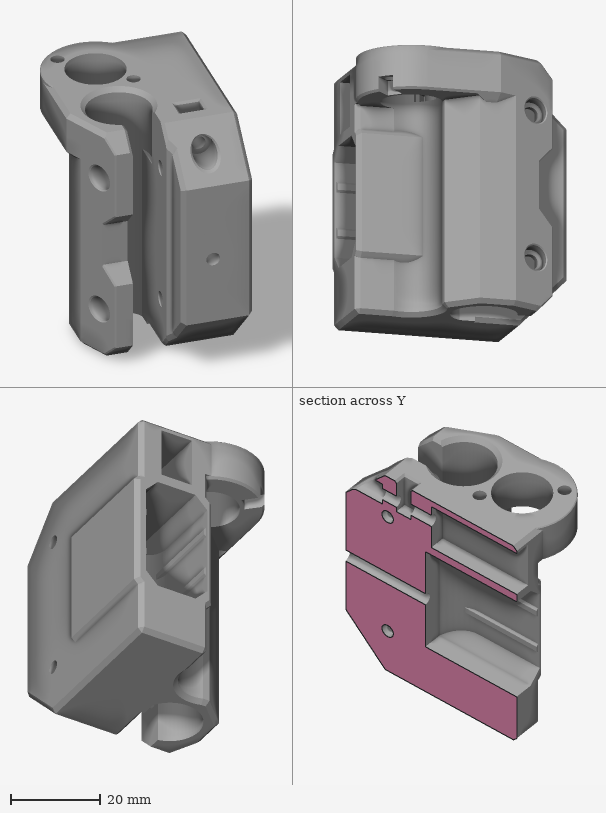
import cadquery as cq
import math

height = 58.0
edge_chamfer = 1.05
slit_chamfer = 0.7
hole_chamfer = 0.5
arm_rim_chamfer = 0.3

block_left = -10.95
block_right = 39.05
block_front = 6.65
block_back = 24.6
tab_step = 1.1
tab_front = block_front + tab_step
corner_cut = 11.5
corner_x = block_right - corner_cut

rod_radius = 14.0 / 2
ring_radius = 12.45
ring_bottom = 48.4
ring_top_chamfer = 0.25
rim_drop = 0.5
pin_diameter = 3.2
pin_reach = 9.55
blind_pin_bottom = 46.4

bore_x = 17.0
bore_radius = 7.6
bore_flat_top = 43.5
slit_front = -1.4
slit_end = 30.9
tab_left = slit_end + tab_step
arm_right = 31.5
arm_corner_x = 17.2
arm_slope = 0.485
body_front = -10.5
body_front_right = arm_corner_x + (body_front + ring_radius) / arm_slope
arm_right_front = -ring_radius + (arm_right - arm_corner_x) * arm_slope
web_x = 6.55
web_front = -4.1
body_front_left = web_x + web_front - body_front

notch_x = 27.65
notch_z = 29.0
notch_half_height = 5.15

bulge_front = 5.45
bulge_back = 25.65
bulge_right = 18.2
bulge_flat_half = 13.7
bulge_corner = 1.6

pocket_y = 15.1
pocket_z = 27.6
pocket_width = 16.1
pocket_height = 28.25
pocket_corner = 3.15
pocket_end = 15.65
pocket_arc_radius = 14.5
pocket_arc_length = math.sqrt(pocket_arc_radius**2 - (pocket_arc_radius - pocket_corner) ** 2)
rib_offset = 5.35
rib_height = 2.45
rib_depth = 0.5
window_width = 7.95
window_bottom = 44.1
window_top = 56.15
window_end = 13.9
screw_diameter = 3.2
clearance_diameter = 3.7
head_diameter = 5.8
tension_z = 51.95
tension_head_x = 28.4
nut_x = 22.1
nut_length = 4.05
nut_width = 5.75
nut_bottom = tension_z - nut_width / 2

clamp_x = 26.8
clamp_heights = (11.95, 46.0)
clamp_head_y = -3.2
clamp_step_y = block_front + 1.45

outer_slot_width = 3.7
outer_slot_top = 51.15
outer_slot_reach = 7.8
inner_slot_width = 3.9
inner_slot_bottom = 49.6
inner_slot_top = 51.45
frame_width = 5.55
frame_top = 52.4
frame_reach = 7.5

tolerance = 0.005
margin = 0.6


def prism(points, bottom, top):
    """Vertical prism over a closed XY polygon."""
    return cq.Workplane("XY").workplane(offset=bottom).polyline(points).close().extrude(top - bottom)


def box(x_range, y_range, z_range):
    """Box given by its limits on each axis."""
    size = [high - low for low, high in (x_range, y_range, z_range)]
    return cq.Workplane("XY").box(*size, centered=False).translate((x_range[0], y_range[0], z_range[0]))


def rod(start, direction, diameter, length):
    """Round bar starting at a point and running along a direction."""
    return cq.Workplane(cq.Solid.makeCylinder(diameter / 2, length, cq.Vector(*start), cq.Vector(*direction)))


def right_corner_cuts():
    """Wedges that take the 45 degree corners off the right end."""
    far = block_right + margin
    side = far - corner_x
    y_span = 2 * (block_back + ring_radius)
    lower = [(corner_x, 0), (far, 0), (far, side)]
    upper = [(x, height - z) for x, z in lower]
    wedges = [
        cq.Workplane("XZ").polyline(points).close().extrude(y_span, both=True) for points in (lower, upper)
    ]
    return wedges[0].union(wedges[1])


def on_corner_cut(edge):
    """True when a straight edge lies in one of the two 45 degree corner faces."""
    if edge.geomType() != "LINE":
        return False
    ends = (edge.startPoint(), edge.endPoint())
    reaches = [point.x + abs(point.z - height / 2) for point in ends]
    return all(abs(reach - corner_x - height / 2) < tolerance for reach in reaches)


def side_prism(front, back):
    """Block contour in XZ, with both right corners cut, between two Y positions."""
    contour = [
        (block_left, 0),
        (corner_x, 0),
        (block_right, corner_cut),
        (block_right, height - corner_cut),
        (corner_x, height),
        (block_left, height),
    ]
    return cq.Workplane("XZ").workplane(offset=-back).polyline(contour).close().extrude(back - front)


def make_block():
    """Block behind the slit, with a thinner tab at its right end."""
    block = side_prism(block_front, block_back)
    corner_rib = cq.selectors.BoxSelector(
        (corner_x - tolerance, block_front, -margin), (corner_x + tolerance, block_back - margin, height + margin)
    )
    block = block.faces("<X or >Y or <Z").edges(-corner_rib).chamfer(edge_chamfer)
    block = block.faces("<Y").edges().filter(on_corner_cut).chamfer(slit_chamfer)
    beyond_slit = prism(
        [
            (slit_end - tab_step, block_front - tab_step),
            (slit_end + block_back, block_front + block_back),
            (block_right + margin, block_front - tab_step),
        ],
        0,
        height,
    )
    block = block.cut(beyond_slit)

    def is_step_rim(edge):
        middle = edge.Center()
        return on_corner_cut(edge) and middle.x > tab_left and middle.y < pocket_y

    block = block.edges().filter(is_step_rim).chamfer(edge_chamfer)
    tab = side_prism(tab_front, block_back).faces("<Y or >Y").edges().chamfer(edge_chamfer)
    left_of_tab = box((block_left, tab_left), (block_front, block_back), (0, height))
    return block.union(tab.cut(left_of_tab))


def make_front():
    """Body in front of the block, around the clamp bore, with the sloping arm."""
    scoop_front = -math.sqrt(rod_radius**2 - web_x**2)
    outline = [
        (0, pocket_y),
        (0, scoop_front),
        (web_x, scoop_front),
        (web_x, web_front),
        (body_front_left, body_front),
        (body_front_right, body_front),
        (arm_right, arm_right_front),
        (arm_right, slit_front),
        (bore_x, slit_front),
        (bore_x, pocket_y),
    ]
    front = prism(outline, 0, ring_bottom)

    def is_front_rim(edge):
        middle = edge.Center()
        return middle.y < scoop_front - tolerance and middle.x < arm_right - tolerance

    return front.faces("<Z").edges().filter(is_front_rim).chamfer(edge_chamfer)


def make_bulge():
    """Thicker part of the block around the large pocket, front and back."""
    half_height = bulge_flat_half + bulge_corner
    bulge = box(
        (block_left, bulge_right),
        (bulge_front, bulge_back),
        (pocket_z - half_height, pocket_z + half_height),
    )
    bulge = bulge.edges("|X").chamfer(bulge_corner)
    return bulge.faces("<X or >X").edges().chamfer(edge_chamfer)


def tapered_underside(outline, depth):
    """Slab below the plate that narrows downwards at 45 degrees."""
    return cq.Workplane("XY").workplane(offset=ring_bottom).polyline(outline).close().extrude(-depth, taper=45)


def make_plate():
    """Top plate: a ring around the rod hole and a straight front along the clamp."""
    ring = rod((0, 0, ring_bottom - rim_drop), (0, 0, 1), 2 * ring_radius, height - ring_bottom + rim_drop)
    ring = ring.faces(">Z").chamfer(ring_top_chamfer).faces("<Z").chamfer(rim_drop)
    outline = [
        (0, -ring_radius),
        (arm_corner_x, -ring_radius),
        (arm_right, arm_right_front),
        (arm_right, slit_front),
        (bore_x, slit_front),
        (bore_x, block_front),
        (0, block_front),
    ]
    front_edges = cq.selectors.BoxSelector(
        (tolerance, -ring_radius - margin, height - margin), (arm_right, arm_right_front, height + margin)
    )
    front = prism(outline, ring_bottom, height).edges(front_edges).chamfer(edge_chamfer)
    rim = tapered_underside(outline, rim_drop)
    overhang = ring_radius + body_front
    support_outline = [(body_front_left - overhang, -ring_radius)] + outline[1:5]
    support = tapered_underside(support_outline, overhang)
    ring_meets_block = math.sqrt(ring_radius**2 - block_left**2)
    shoulder = box((block_left, 0), (ring_meets_block, pocket_y), (ring_bottom, height))
    shoulder = shoulder.edges("<X and >Z").chamfer(edge_chamfer)
    return ring.union(front).union(rim).union(support).union(shoulder)


def cut_scoop(part):
    """Rod hole and its clearance along the body, chamfered at the bottom."""
    scoop = rod((0, 0, 0), (0, 0, 1), 2 * rod_radius, height)
    rim = cq.Workplane(cq.Solid.makeCone(rod_radius + edge_chamfer, rod_radius, edge_chamfer))
    return part.cut(scoop).cut(rim)


def cut_clamp(part):
    """Clamp bore, the chamfers of its slit and the notch in the arm."""
    flat = box((0, block_right), (block_front, block_back), (0, bore_flat_top))
    bore = rod((bore_x, 0, 0), (0, 0, 1), 2 * bore_radius, height).cut(flat)
    mouth_start = cq.Vector(bore_x, 0, height - edge_chamfer)
    mouth = cq.Workplane(
        cq.Solid.makeCone(bore_radius, bore_radius + edge_chamfer, edge_chamfer, mouth_start)
    )
    part = part.cut(bore)

    def is_slit_rim(edge):
        middle = edge.Center()
        on_slit = edge.geomType() == "LINE" and abs(middle.y - slit_front) < tolerance
        return on_slit and middle.x > bore_x + bore_radius and middle.z > height / 2

    part = part.edges().filter(is_slit_rim).chamfer(slit_chamfer)
    rise = arm_right + margin - notch_x
    notch_outline = [
        (notch_x, notch_z - notch_half_height),
        (notch_x, notch_z + notch_half_height),
        (notch_x + rise, notch_z + notch_half_height + rise),
        (notch_x + rise, notch_z - notch_half_height - rise),
    ]
    notch = cq.Workplane("XZ").polyline(notch_outline).close().extrude(ring_radius)
    part = part.cut(mouth).cut(notch)

    def is_arm_rim(edge):
        middle = edge.Center()
        on_face = abs(middle.y + ring_radius - (middle.x - arm_corner_x) * arm_slope) < tolerance
        return edge.geomType() == "LINE" and on_face and middle.x > notch_x + tolerance

    return part.edges().filter(is_arm_rim).chamfer(arm_rim_chamfer)


def cut_clamp_screws(part):
    """Clamp screws along Y, with a sunk head in the sloping arm."""
    for z in clamp_heights:
        part = part.cut(rod((clamp_x, -ring_radius, z), (0, 1, 0), screw_diameter, ring_radius + bulge_back))
        part = part.cut(rod((clamp_x, clamp_step_y, z), (0, -1, 0), clearance_diameter, ring_radius + clamp_step_y))
        part = part.cut(rod((clamp_x, clamp_head_y, z), (0, -1, 0), head_diameter, ring_radius))
    return part


def make_rail(side, z):
    """Rail with sloping flanks along one wall of the large pocket."""
    wall = pocket_y + side * pocket_width / 2
    crest = wall - side * rib_depth
    half = rib_height / 2
    section = [
        (wall, z - half),
        (wall, z + half),
        (crest, z + half - rib_depth),
        (crest, z - half + rib_depth),
    ]
    start = block_left + rib_depth
    return cq.Workplane("YZ").workplane(offset=start).polyline(section).close().extrude(pocket_end - block_left)


def make_large_pocket():
    """Large pocket: octagonal in section, with curved walls towards its end."""
    half_width = pocket_width / 2
    half_end = half_width - pocket_corner
    plan = (
        cq.Workplane("XY")
        .moveTo(block_left, -half_width)
        .lineTo(pocket_end - pocket_arc_length, -half_width)
        .radiusArc((pocket_end, -half_end), -pocket_arc_radius)
        .lineTo(pocket_end, half_end)
        .radiusArc((pocket_end - pocket_arc_length, half_width), -pocket_arc_radius)
        .lineTo(block_left, half_width)
        .close()
        .extrude(height)
        .translate((0, pocket_y, 0))
    )
    pocket = box(
        (block_left, pocket_end),
        (pocket_y - half_width, pocket_y + half_width),
        (pocket_z - pocket_height / 2, pocket_z + pocket_height / 2),
    )
    pocket = pocket.edges("|X").chamfer(pocket_corner).intersect(plan)
    for side in (-1, 1):
        for z in (pocket_z - rib_offset, pocket_z + rib_offset):
            pocket = pocket.cut(make_rail(side, z))
    return pocket


def cut_pockets(part):
    """Large pocket, window pocket, the screws along X and the nut pocket in the top."""
    window = box(
        (block_left, window_end),
        (pocket_y - window_width / 2, pocket_y + window_width / 2),
        (window_bottom, window_top),
    )
    part = part.cut(make_large_pocket()).cut(window)
    for z in (pocket_z, tension_z):
        part = part.cut(rod((0, pocket_y, z), (1, 0, 0), screw_diameter, block_right))
    nut = box(
        (nut_x - nut_length / 2, nut_x + nut_length / 2),
        (pocket_y - nut_width / 2, pocket_y + nut_width / 2),
        (nut_bottom, height),
    )
    nut_mouth = (
        cq.Workplane("XY")
        .workplane(offset=height)
        .center(nut_x, pocket_y)
        .rect(nut_length + 2 * hole_chamfer, nut_width + 2 * hole_chamfer)
        .extrude(-hole_chamfer, taper=45)
    )
    head = rod((tension_head_x, pocket_y, tension_z), (1, 0, 0), head_diameter, block_right)
    return part.cut(nut).cut(nut_mouth).cut(head)


def chamfer_heads(part):
    """Chamfer the rims of the screw heads, which all open on sloping faces."""

    def is_head_rim(edge):
        return edge.geomType() == "ELLIPSE" and abs(edge.BoundingBox().zlen - head_diameter) < 0.03

    clamp_rims = part.edges().filter(lambda edge: is_head_rim(edge) and edge.Center().y < slit_front)
    part = clamp_rims.chamfer(arm_rim_chamfer)
    tension_rim = part.edges().filter(lambda edge: is_head_rim(edge) and edge.Center().y > block_front)
    return tension_rim.chamfer(hole_chamfer)


def cut_pins(part):
    """Two pins on the diagonal of the rod hole, with their nut slots."""
    reach = pin_reach / math.sqrt(2)
    part = part.cut(rod((-reach, -reach, 0), (0, 0, 1), pin_diameter, height))
    part = part.cut(rod((reach, reach, blind_pin_bottom), (0, 0, 1), pin_diameter, height))
    half_outer = outer_slot_width / 2
    half_inner = inner_slot_width / 2
    half_frame = frame_width / 2
    slot_bottom = ring_bottom - rim_drop
    slots = [
        box((-ring_radius - margin, -outer_slot_reach), (-half_outer, half_outer), (slot_bottom, outer_slot_top)),
        box((0, pin_reach), (-half_inner, half_inner), (inner_slot_bottom, inner_slot_top)),
        box((0, frame_reach), (-half_frame, half_frame), (inner_slot_bottom, frame_top)),
    ]
    for slot in slots:
        part = part.cut(slot.rotate((0, 0, 0), (0, 0, 1), 45))
    return part


result = make_front().union(make_plate()).cut(right_corner_cuts())
result = result.union(make_block())
result = cut_scoop(result)
result = result.union(make_bulge())
result = cut_clamp(result)
result = cut_clamp_screws(result)
result = cut_pockets(result)
result = chamfer_heads(result)
result = cut_pins(result)